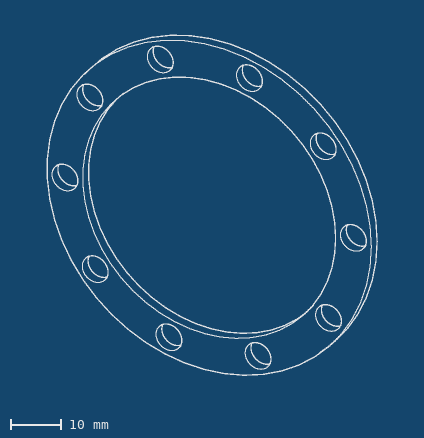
import cadquery as cq

outer_diameter = 72.0
inner_diameter = 56.1
thickness = 2.5

hole_count = 10
hole_diameter = 5.7
hole_circle_radius = (outer_diameter + inner_diameter) / 4
first_hole_angle = 1.8


def back_face_plane():
    """XZ workplane on the +Y face; extrusions run from it towards -Y."""
    return cq.Workplane("XZ", origin=(0, thickness / 2, 0))


def make_ring():
    """Plain ring, centred on the origin with its axis along Y."""
    return (
        back_face_plane()
        .circle(outer_diameter / 2)
        .circle(inner_diameter / 2)
        .extrude(thickness)
    )


def make_holes():
    """Cylinders for the evenly spaced through holes."""
    return (
        back_face_plane()
        .polarArray(hole_circle_radius, first_hole_angle, 360, hole_count)
        .circle(hole_diameter / 2)
        .extrude(thickness)
    )


result = make_ring().cut(make_holes())